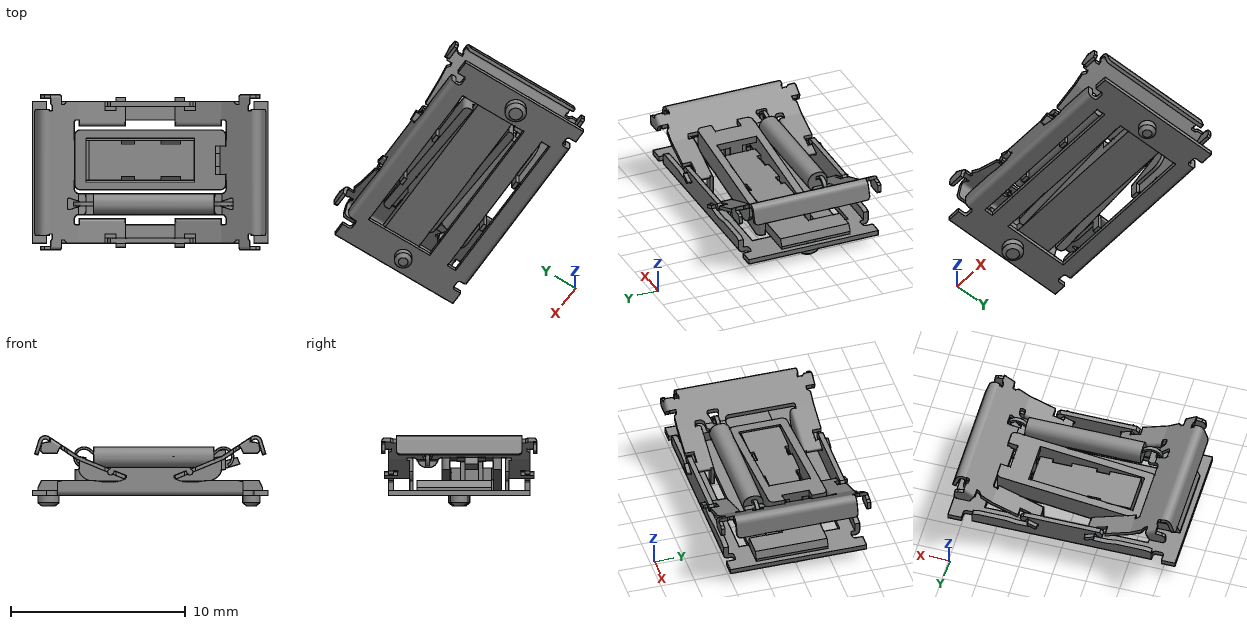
import cadquery as cq
import math

PEG_HEIGHT = 0.6
PLATE_THICK = 0.3
PLATE_BOTTOM = PEG_HEIGHT
PLATE_TOP = PLATE_BOTTOM + PLATE_THICK
PAD_TOP = 1.47
FLOOR_TOP = 2.19
WING_THICK = 0.2
ALL = 27.0
OVERLAP = 0.07

PLATE_LENGTH = 13.5
PLATE_HALF_WIDTH = 4.06
WINDOW_HALF_X = 4.86
WINDOW_HALF_Y = 3.0
STRIP_Y = (-2.43, -1.22)
NOTCH_X = (5.32, 5.94)
NOTCH_DEPTH = 0.57
NOTCH_RADIUS = 0.16
WALL_HALF_LENGTH = NOTCH_X[0]
WALL_TOP = 2.2
WALL_LOW_TOP = 1.47
WALL_BEND_RADIUS = 0.27
SLOT_END_X = -1.36
SLOT_GAP = 0.02

PAD_OUTER_X = 6.44
PAD_INNER_X = 4.97
PAD_SLOPE_INSET = 0.2
PAD_SLOPE_BOTTOM = 1.05
PAD_Y = (-2.43, 1.85)
FLOOR_X = (-3.51, 2.51)
FLOOR_Y = (-0.46, 1.85)
POCKETS_X = ((-1.65, -0.89), (0.61, 1.73))
POCKET_STEPS = ((0.23, 0.14), (0.12, 0.27))
LEFT_PEG = (-5.83, 1.23)
RIGHT_PEG = (5.79, 1.0)
PEG_CHAMFER_HEIGHT = 0.19
PEG_CHAMFER_INSET = 0.23

KINK_X, KINK_Z = -4.1, 2.85
ARM_SLOPE = 0.41
ARM_END_X = -1.39
RAMP_SLOPE = 0.66
LIP_CORNER_X = -6.24
LIP_TIP = (-6.63, 2.98)
LIP_BEND_RADIUS = 0.39
LIP_HALF_WIDTH = 3.6
LIP_CORNER_RADIUS = 0.22
EAR_X = (-5.71, -5.08)
WIDTH_OVER_EARS = 8.9
EAR_HALF_WIDTH = WIDTH_OVER_EARS / 2
VEE_X = (EAR_X[1], -4.77)
VEE_DEPTH = 0.18
RELIEF_X = (-5.78, -5.62)
RELIEF_Y = (3.54, 3.81)
RELIEF_TAPER = 0.14
EDGE_BEND_RADIUS = 0.19
ARM_END_RADIUS = 0.08
WINDOW_CORNER_RADIUS = 0.12
WING_WINDOW_X = -4.35
ARM_RELIEF_X = -4.08
FLANGE_Y = 2.65
FLANGE_END_X = -1.43
FLANGE_BOTTOM = 1.43
FLANGE_LEG_X = -1.89
CRADLE_Y = (-2.42, -1.22)
CRADLE_END_X = -3.67
CRADLE_END_Z = 2.77
CRADLE_FLARE = 0.27
CRADLE_CORNER_RADIUS = 0.2
HOOK_HOLE_X = (-4.75, -4.02)
HOOK_HOLE_HALF_WIDTH = (0.38, 0.12)
HOOK_HOLE_RADIUS = 0.11
NECK_X = (-2.59, -1.97)
NECK_Y = 3.54
FOOT_Y = 4.29
CATCH_X = 3.98
CATCH_Y = (-0.12, 1.5)

SPRING_X = (-3.24, 3.65)
SPRING_SIZE = 1.19
SPRING_Y, SPRING_Z = -1.81, 2.8
SPRING_CORNER_RADIUS = 0.54
HOOK_WIDTH = 0.23
HOOK_THICK = 0.14
HOOK_RADIUS = 0.53
HOOK_OFFSET = 0.55
HOOK_ANGLES = (50.0, 240.0)

FRAME_HALF_X = 4.32
FRAME_Y = (-1.0, 2.43)
FRAME_TOP_Z = (2.08, 3.24)
FRAME_BOTTOM_Z = (0.74, 2.09)
FRAME_CORNER_RADIUS = 0.3
OPENING_X = (-3.67, 2.52)
OPENING_Y = (-0.54, 1.95)
DECK_THICK = 0.4
PASSAGE_TOP = 1.5
FRAME_NOTCH_X = 3.74
TONGUE_Y = (0.32, 1.08)
TONGUE_TOP = 2.48

FINGER_X = (2.59, 2.86)
FINGER_WIDTH = 0.25
FINGER_TOP = 2.55
FINGER_TIP_RADIUS = 0.12
FINGERS_Y = (0.19, 1.23)


def block(x, y, z):
    """Box between the pairs of limits x, y and z."""
    size = (x[1] - x[0], y[1] - y[0], z[1] - z[0])
    return cq.Workplane("XY").box(*size, centered=False).translate((x[0], y[0], z[0]))


def side_extrusion(points, y):
    """Polygon of (X, Z) points extruded between two Y limits."""
    outline = cq.Workplane("XZ", origin=(0, y[1], 0)).polyline(points).close()
    return outline.extrude(y[1] - y[0])


def plan_extrusion(points):
    """Polygon of (X, Y) points extruded through the whole height."""
    return cq.Workplane("XY").polyline(points).close().extrude(ALL)


def both_sides(shape, plane):
    return shape.union(shape.mirror(plane))


def arm_top(x):
    return KINK_Z - ARM_SLOPE * (x - KINK_X)


def ramp_top(x):
    return KINK_Z - RAMP_SLOPE * (x - KINK_X)


def side_wall():
    """Wall on the -Y side, with the two slanted slots that hold the wing feet."""
    half = [
        (-WALL_HALF_LENGTH, PLATE_BOTTOM),
        (-WALL_HALF_LENGTH, 1.39),
        (-4.98, WALL_LOW_TOP),
        (-3.24, WALL_LOW_TOP),
        (-2.7, 1.38),
        (-2.02, 1.38),
        (-1.66, 1.46),
        (-1.47, 1.54),
        (SLOT_END_X, 1.65),
        (SLOT_END_X, arm_top(SLOT_END_X) + SLOT_GAP),
        (-2.02, arm_top(-2.02) + SLOT_GAP),
        (-2.16, 1.81),
        (-2.27, 1.77),
        (-2.4, 1.82),
        (-2.46, 2.0),
        (-2.27, WALL_TOP),
    ]
    other_half = [(-x, z) for x, z in reversed(half)]
    wall_y = (-PLATE_HALF_WIDTH, -PLATE_HALF_WIDTH + PLATE_THICK)
    wall = side_extrusion(half + other_half, wall_y)
    return wall.edges("<Y and <Z").fillet(WALL_BEND_RADIUS)


def base_plate():
    full_y = (-PLATE_HALF_WIDTH, PLATE_HALF_WIDTH)
    level = (PLATE_BOTTOM, PLATE_TOP)
    half_length = PLATE_LENGTH / 2
    plate = block((-half_length, half_length), full_y, level)
    window_x = (-WINDOW_HALF_X, WINDOW_HALF_X)
    window_y = (-WINDOW_HALF_Y, WINDOW_HALF_Y)
    plate = plate.cut(block(window_x, window_y, level))
    plate = plate.union(block(window_x, STRIP_Y, level))
    wall_inner = PLATE_HALF_WIDTH - PLATE_THICK
    wall_x = (-WALL_HALF_LENGTH, WALL_HALF_LENGTH)
    edge = block(wall_x, (wall_inner, PLATE_HALF_WIDTH), level)
    plate = plate.cut(both_sides(edge, "XZ"))
    plate = plate.union(both_sides(side_wall(), "XZ"))
    notch = block(NOTCH_X, (PLATE_HALF_WIDTH - NOTCH_DEPTH, ALL), level)
    notch = notch.edges("|Z and <Y").fillet(NOTCH_RADIUS)
    plate = plate.cut(both_sides(both_sides(notch, "XZ"), "YZ"))
    for peg_x, diameter in (LEFT_PEG, RIGHT_PEG):
        hole = cq.Workplane("XY").center(peg_x, 0).circle(diameter / 2).extrude(PLATE_TOP)
        plate = plate.cut(hole)
    return plate


def peg(peg_x, diameter):
    radius = diameter / 2
    profile = [
        (0, 0),
        (radius - PEG_CHAMFER_INSET, 0),
        (radius, PEG_CHAMFER_HEIGHT),
        (radius, PLATE_TOP),
        (0, PLATE_TOP),
    ]
    turned = cq.Workplane("XZ").polyline(profile).close().revolve(360, (0, 0), (0, 1))
    return turned.translate((peg_x, 0, 0))


def moulded_base():
    pad_outline = [
        (-PAD_OUTER_X, PLATE_TOP),
        (-PAD_OUTER_X, PAD_SLOPE_BOTTOM),
        (-PAD_OUTER_X + PAD_SLOPE_INSET, PAD_TOP),
        (-PAD_INNER_X, PAD_TOP),
        (-PAD_INNER_X, PLATE_TOP),
    ]
    base = both_sides(side_extrusion(pad_outline, PAD_Y), "YZ")
    base = base.union(block((-PAD_INNER_X, PAD_INNER_X), FLOOR_Y, (PLATE_TOP, PAD_TOP)))
    base = base.union(block(FLOOR_X, FLOOR_Y, (PAD_TOP, FLOOR_TOP)))
    for pocket_x in POCKETS_X:
        for width, depth in POCKET_STEPS:
            pocket_z = (FLOOR_TOP - depth, FLOOR_TOP)
            base = base.cut(block(pocket_x, (FLOOR_Y[1] - width, FLOOR_Y[1]), pocket_z))
            base = base.cut(block(pocket_x, (FLOOR_Y[0], FLOOR_Y[0] + width), pocket_z))
    for peg_x, diameter in (LEFT_PEG, RIGHT_PEG):
        base = base.union(peg(peg_x, diameter))
    return base


def lower_side(path):
    """Points of a bent sheet's underside, one for each point of its upper side."""
    def shifted(a, b):
        length = math.dist(a, b)
        dx = (b[1] - a[1]) / length * WING_THICK
        dz = -(b[0] - a[0]) / length * WING_THICK
        return (a[0] + dx, a[1] + dz), (b[0] + dx, b[1] + dz)

    legs = [shifted(a, b) for a, b in zip(path, path[1:])]
    points = [legs[0][0]]
    for (start, end), (next_start, next_end) in zip(legs, legs[1:]):
        ux, uz = end[0] - start[0], end[1] - start[1]
        vx, vz = next_end[0] - next_start[0], next_end[1] - next_start[1]
        gap_x, gap_z = next_start[0] - start[0], next_start[1] - start[1]
        share = (gap_x * vz - gap_z * vx) / (ux * vz - uz * vx)
        points.append((start[0] + share * ux, start[1] + share * uz))
    points.append(legs[-1][1])
    return points


def bent_sheet():
    """Lip, ramp and arm as one bent strip over the full width."""
    upper = [
        LIP_TIP,
        (LIP_CORNER_X, ramp_top(LIP_CORNER_X)),
        (KINK_X, KINK_Z),
        (ARM_END_X, arm_top(ARM_END_X)),
    ]
    lower = lower_side(upper)
    sheet = side_extrusion(upper + lower[::-1], (-EAR_HALF_WIDTH, EAR_HALF_WIDTH))
    for corner, radius in ((upper[1], LIP_BEND_RADIUS), (lower[1], LIP_BEND_RADIUS - WING_THICK)):
        bend = cq.selectors.NearestToPointSelector((corner[0], 0, corner[1]))
        sheet = sheet.edges(bend).fillet(radius)
    return sheet.faces(">X").edges("|Y").fillet(ARM_END_RADIUS)


def wing_plan():
    """Prism of the wing's outline as seen from above."""
    edge = PLATE_HALF_WIDTH
    ear_root = EAR_HALF_WIDTH - WING_THICK
    flange_root = FLANGE_Y + WING_THICK
    vee_x = (VEE_X[0] + VEE_X[1]) / 2
    half = [
        (-ALL, LIP_HALF_WIDTH),
        (RELIEF_X[0], LIP_HALF_WIDTH),
        (RELIEF_X[0], RELIEF_Y[0]),
        (RELIEF_X[1], RELIEF_Y[0]),
        (RELIEF_X[1], RELIEF_Y[1]),
        (EAR_X[0], RELIEF_Y[1] + RELIEF_TAPER),
        (EAR_X[0], ear_root),
        (EAR_X[1], ear_root),
        (VEE_X[0], edge - VEE_DEPTH),
        (vee_x, edge - VEE_DEPTH),
        (VEE_X[1], edge),
        (NECK_X[0], edge),
        (NECK_X[0], NECK_Y),
        (NECK_X[1], NECK_Y),
        (NECK_X[1], FOOT_Y),
        (ARM_END_X, FOOT_Y),
        (ARM_END_X, flange_root),
        (ARM_RELIEF_X, flange_root),
        (ARM_RELIEF_X, WINDOW_HALF_Y),
        (WING_WINDOW_X, WINDOW_HALF_Y),
    ]
    other_half = [(x, -y) for x, y in reversed(half)]
    plan = plan_extrusion(half + other_half)
    for y in (-WINDOW_HALF_Y, WINDOW_HALF_Y):
        corner = cq.selectors.NearestToPointSelector((WING_WINDOW_X, y, ALL / 2))
        plan = plan.edges(corner).fillet(WINDOW_CORNER_RADIUS)
    return plan


def ear():
    """Leaf hanging from the outer edge of the ramp on the -Y side."""
    outline = [
        (-6.06, 3.65),
        (EAR_X[0], 3.69),
        (EAR_X[0], ramp_top(EAR_X[0])),
        (EAR_X[1], ramp_top(EAR_X[1])),
        (-5.2, 3.32),
        (-5.33, 3.02),
        (-6.15, 3.02),
        (-6.28, 3.15),
        (-6.25, 3.55),
    ]
    leaf = side_extrusion(outline, (-EAR_HALF_WIDTH, -EAR_HALF_WIDTH + WING_THICK))
    ear_x = (EAR_X[0] + EAR_X[1]) / 2
    bend = cq.selectors.NearestToPointSelector((ear_x, -EAR_HALF_WIDTH, ramp_top(ear_x)))
    return leaf.edges(bend).fillet(EDGE_BEND_RADIUS)


def flange():
    """Web bent down from the inner edge of the -Y arm."""
    outline = (
        cq.Workplane("XZ", origin=(0, -FLANGE_Y, 0))
        .moveTo(ARM_RELIEF_X, arm_top(ARM_RELIEF_X))
        .lineTo(ARM_RELIEF_X, 1.97)
        .threePointArc((-3.81, 1.62), (-3.31, FLANGE_BOTTOM))
        .lineTo(FLANGE_LEG_X, FLANGE_BOTTOM)
        .lineTo(FLANGE_LEG_X, PLATE_BOTTOM)
        .lineTo(FLANGE_END_X, PLATE_BOTTOM)
        .lineTo(FLANGE_END_X, arm_top(FLANGE_END_X))
        .close()
    )
    middle_x = (ARM_RELIEF_X + FLANGE_END_X) / 2
    bend = cq.selectors.NearestToPointSelector((middle_x, -FLANGE_Y, arm_top(middle_x)))
    return outline.extrude(WING_THICK).edges(bend).fillet(EDGE_BEND_RADIUS)


def cradle():
    """Tab below the hook of the spring, flared where it leaves the ramp."""
    root_x = WING_WINDOW_X - OVERLAP
    upper = [
        (root_x, ramp_top(root_x)),
        (KINK_X, KINK_Z),
        (CRADLE_END_X, CRADLE_END_Z),
    ]
    flare_y = (CRADLE_Y[0] - CRADLE_FLARE, CRADLE_Y[1] + CRADLE_FLARE)
    sheet = side_extrusion(upper + lower_side(upper)[::-1], flare_y)
    flare_x = WING_WINDOW_X + CRADLE_FLARE
    plan = (
        cq.Workplane("XY")
        .moveTo(root_x - WING_THICK, flare_y[0])
        .lineTo(WING_WINDOW_X, flare_y[0])
        .radiusArc((flare_x, CRADLE_Y[0]), CRADLE_FLARE)
        .lineTo(CRADLE_END_X, CRADLE_Y[0])
        .lineTo(CRADLE_END_X, CRADLE_Y[1])
        .lineTo(flare_x, CRADLE_Y[1])
        .radiusArc((WING_WINDOW_X, flare_y[1]), CRADLE_FLARE)
        .lineTo(root_x - WING_THICK, flare_y[1])
        .close()
        .extrude(ALL)
    )
    return sheet.intersect(plan.edges("|Z and >X").fillet(CRADLE_CORNER_RADIUS))


def hook_hole():
    wide, narrow = HOOK_HOLE_HALF_WIDTH
    hole = plan_extrusion([
        (HOOK_HOLE_X[0], SPRING_Y - wide),
        (HOOK_HOLE_X[0], SPRING_Y + wide),
        (HOOK_HOLE_X[1], SPRING_Y + narrow),
        (HOOK_HOLE_X[1], SPRING_Y - narrow),
    ])
    return hole.edges("|Z and <X").fillet(HOOK_HOLE_RADIUS)


def left_wing():
    wing = bent_sheet().intersect(wing_plan())
    for side in (-1, 1):
        near_corner = cq.selectors.NearestToPointSelector((LIP_TIP[0], side * LIP_HALF_WIDTH, LIP_TIP[1]))
        wing = wing.edges(near_corner).fillet(LIP_CORNER_RADIUS)
    wing = wing.union(both_sides(flange(), "XZ"))
    wing = wing.union(both_sides(ear(), "XZ"))
    wing = wing.union(cradle())
    return wing.cut(hook_hole())


def right_wing():
    """Mirror of the left wing, with a catch that reaches into the notch of the frame."""
    wing = left_wing().mirror("YZ")
    inner, outer = CATCH_X, -WING_WINDOW_X + OVERLAP
    outline = [
        (inner, ramp_top(-inner)),
        (outer, ramp_top(-outer)),
        (outer, ramp_top(-outer) - WING_THICK),
        (inner, ramp_top(-inner) - WING_THICK),
    ]
    return wing.union(side_extrusion(outline, CATCH_Y))


def spring_hook():
    """Hook at the +X end, round the point HOOK_OFFSET beyond the coil."""
    start, end = (math.radians(a) for a in HOOK_ANGLES)
    middle = (start + end) / 2

    def at(radius, angle):
        return (-radius * math.cos(angle), radius * math.sin(angle))

    def lead_end(radius):
        x, z = at(radius, start)
        return (-HOOK_OFFSET, z - (HOOK_OFFSET + x) / math.tan(start))

    outer, inner = HOOK_RADIUS + HOOK_THICK / 2, HOOK_RADIUS - HOOK_THICK / 2
    return (
        cq.Workplane("XZ", origin=(0, HOOK_WIDTH / 2, 0))
        .moveTo(*lead_end(outer))
        .lineTo(*at(outer, start))
        .threePointArc(at(outer, middle), at(outer, end))
        .lineTo(*at(inner, end))
        .threePointArc(at(inner, middle), at(inner, start))
        .lineTo(*lead_end(inner))
        .close()
        .extrude(HOOK_WIDTH)
    )


def spring():
    half = SPRING_SIZE / 2
    coil = block(SPRING_X, (SPRING_Y - half, SPRING_Y + half), (SPRING_Z - half, SPRING_Z + half))
    coil = coil.edges("|X").fillet(SPRING_CORNER_RADIUS)
    right_hook = spring_hook().translate((SPRING_X[1] + HOOK_OFFSET, SPRING_Y, SPRING_Z))
    left_hook = spring_hook().mirror("YZ").translate((SPRING_X[0] - HOOK_OFFSET, SPRING_Y, SPRING_Z))
    return coil.union(right_hook).union(left_hook)


def frame_top(x):
    rise = FRAME_TOP_Z[1] - FRAME_TOP_Z[0]
    return FRAME_TOP_Z[0] + rise * (x + FRAME_HALF_X) / (2 * FRAME_HALF_X)


def frame():
    left, right = -FRAME_HALF_X, FRAME_HALF_X
    outline = [
        (left, FRAME_BOTTOM_Z[0]),
        (left, FRAME_TOP_Z[0]),
        (right, FRAME_TOP_Z[1]),
        (right, FRAME_BOTTOM_Z[1]),
    ]
    body = side_extrusion(outline, FRAME_Y).edges("|Z").fillet(FRAME_CORNER_RADIUS)
    body = body.cut(block(OPENING_X, OPENING_Y, (0, ALL)))
    hollow = [
        (OPENING_X[1], 0),
        (OPENING_X[1], frame_top(OPENING_X[1]) - DECK_THICK),
        (right, frame_top(right) - DECK_THICK),
        (right, 0),
    ]
    body = body.cut(side_extrusion(hollow, OPENING_Y))
    body = body.cut(block((left, OPENING_X[0]), OPENING_Y, (0, PASSAGE_TOP)))
    body = body.cut(block((FRAME_NOTCH_X, right), CATCH_Y, (0, ALL)))
    tongue = [
        (OPENING_X[1], frame_top(OPENING_X[1]) - DECK_THICK / 2),
        (OPENING_X[1], FRAME_BOTTOM_Z[1]),
        (4.09, FRAME_BOTTOM_Z[1]),
        (5.15, 2.4),
        (4.98, 2.8),
        (3.92, TONGUE_TOP),
        (FRAME_NOTCH_X, TONGUE_TOP),
        (FRAME_NOTCH_X, frame_top(FRAME_NOTCH_X) - DECK_THICK / 2),
    ]
    return body.union(side_extrusion(tongue, TONGUE_Y))


def contact_finger(y):
    finger = block(FINGER_X, (y - FINGER_WIDTH / 2, y + FINGER_WIDTH / 2), (PAD_TOP, FINGER_TOP))
    return finger.edges("|Y and >Z").fillet(FINGER_TIP_RADIUS)


result = cq.Compound.makeCompound([
    base_plate().val(),
    moulded_base().val(),
    left_wing().val(),
    right_wing().val(),
    spring().val(),
    frame().val(),
    *[contact_finger(y).val() for y in FINGERS_Y],
])